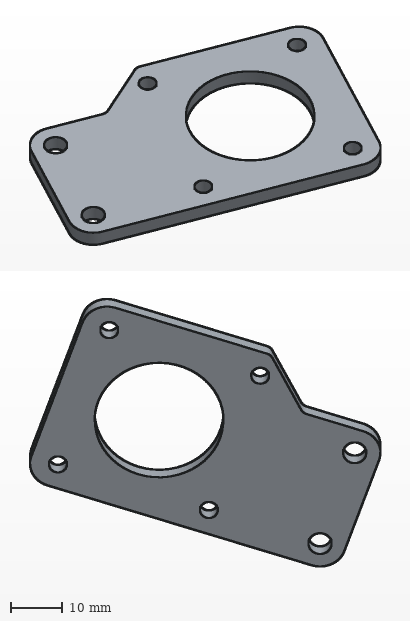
import cadquery as cq

width = 41.0
length = 64.3
thickness = 3.3
corner_radius = 5.0

step_width = 10.0
shoulder_drop = 36.9
shoulder_radius = 2.0

bore_diameter = 25.0
bore_drop = 20.95
motor_hole_spacing = 31.0
motor_hole_diameter = 3.5

foot_hole_diameter = 4.5

right = width / 2
left = -right
top = length / 2
bottom = -top
foot_left = left + step_width
shoulder_top = top - shoulder_drop
shoulder_bottom = shoulder_top - step_width
bore_y = top - bore_drop


def make_plate():
    """Rounded plate with one lower corner cut away."""
    outer_corners = [(left, top), (right, top), (right, bottom), (foot_left, bottom)]
    shoulder_corners = [(foot_left, shoulder_bottom), (left, shoulder_top)]
    plate = (
        cq.Workplane("XY")
        .polyline(outer_corners + shoulder_corners)
        .close()
        .extrude(thickness)
    )
    plate = round_edges(plate, outer_corners, corner_radius)
    return round_edges(plate, shoulder_corners, shoulder_radius)


def round_edges(body, corners, radius):
    """Fillet the upright edge at each of the given corners."""
    for x, y in corners:
        nearest = cq.selectors.NearestToPointSelector((x, y, thickness / 2))
        body = body.edges("|Z").edges(nearest).fillet(radius)
    return body


def through_holes(points, diameter):
    """Cylinders through the full plate thickness."""
    return cq.Workplane("XY").pushPoints(points).circle(diameter / 2).extrude(thickness)


half_spacing = motor_hole_spacing / 2
motor_points = [
    (side_x * half_spacing, bore_y + side_y * half_spacing)
    for side_x in (-1, 1)
    for side_y in (-1, 1)
]

foot_y = bottom + corner_radius
foot_points = [(foot_left + corner_radius, foot_y), (right - corner_radius, foot_y)]

result = (
    make_plate()
    .cut(through_holes([(0, bore_y)], bore_diameter))
    .cut(through_holes(motor_points, motor_hole_diameter))
    .cut(through_holes(foot_points, foot_hole_diameter))
)